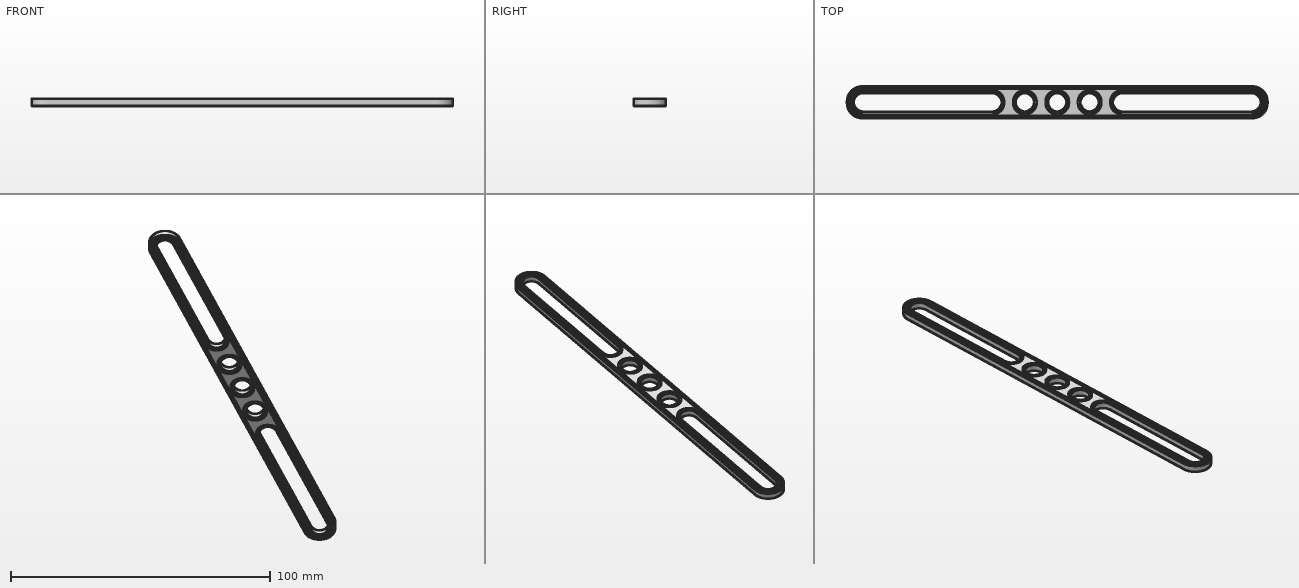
import cadquery as cq

length = 162.5
pitch_count = 13
pitch = length / pitch_count
width = pitch
thickness = 3.1

opening_width = 7.0
hole_centers = [(i * pitch, 0) for i in (-1, 0, 1)]
slot_inner_center = 2 * pitch
slot_outer_center = 6 * pitch
slot_center_x = (slot_inner_center + slot_outer_center) / 2
slot_center_span = slot_outer_center - slot_inner_center
slot_centers = [(-slot_center_x, 0), (slot_center_x, 0)]

collar_width = 9.3
rim_width = (collar_width - opening_width) / 2
recess_depth = 0.2
edge_bevel = 0.3


def openings(opening, height):
    """Solids filling the holes and slots when they are opened to the given width."""
    plane = cq.Workplane("XY")
    holes = plane.pushPoints(hole_centers).circle(opening / 2).extrude(height)
    slots = plane.pushPoints(slot_centers).slot2D(slot_center_span + opening, opening).extrude(height)
    return holes.add(slots).combine()


def recess():
    """Shallow pocket between the outer rim and the collars around the openings."""
    inside_rim = cq.Workplane("XY").slot2D(length - 2 * rim_width, width - 2 * rim_width)
    return inside_rim.extrude(recess_depth).cut(openings(collar_width, recess_depth))


bar = cq.Workplane("XY").slot2D(length, width).extrude(thickness)
bar = bar.cut(openings(opening_width, thickness))
bar = bar.faces("<Z or >Z").chamfer(edge_bevel)

bar = bar.cut(recess())
result = bar.cut(recess().translate((0, 0, thickness - recess_depth)))